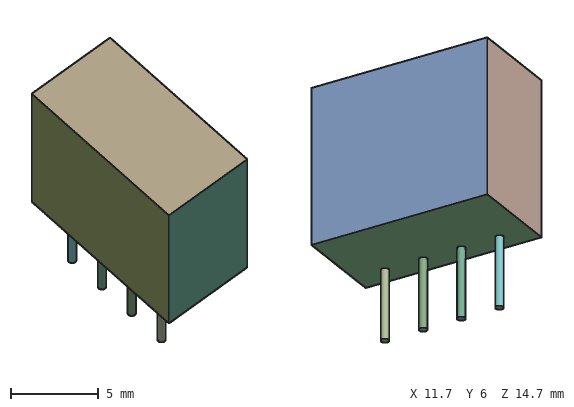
import cadquery as cq

housing_length = 11.68
housing_width = 6.0
total_height = 14.73
pin_length = 4.57
housing_height = total_height - pin_length

pin_count = 4
pin_diameter = 0.5
pin_pitch = 2.53
pin_row_inset = 1.27
pin_row_y = -housing_width / 2 + pin_row_inset


def make_housing():
    """Plain block centred on the Z axis."""
    return cq.Workplane("XY").box(
        housing_length, housing_width, housing_height, centered=(True, True, False)
    )


def make_pin(x):
    """Straight pin hanging from the underside of the housing."""
    return cq.Workplane("XY").center(x, pin_row_y).circle(pin_diameter / 2).extrude(-pin_length)


housing = make_housing()

first_pin_x = -pin_pitch * (pin_count - 1) / 2
pins = []
for index in range(pin_count):
    pin = make_pin(first_pin_x + index * pin_pitch)
    pins.append(pin.val())

result = cq.Compound.makeCompound([housing.val(), *pins])